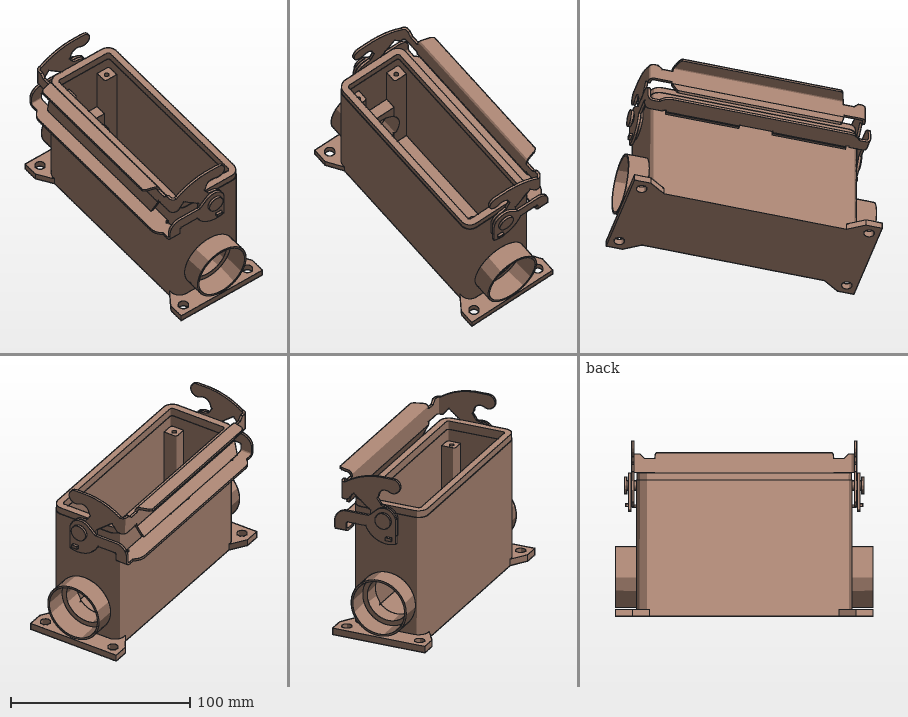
import cadquery as cq
import math


overall_length = 144.0
flange_width = 57.0
flange_height = 4.0

body_length = 120.4
body_width = 44.4
body_height = 80.2
body_corner = 6.0
rim_band = 4.0
rim_inset = 0.3

opening_length = 111.5
opening_width = 35.7
opening_corner = 1.5
lip_depth = 5.2
lip_overhang = 0.1
floor_thickness = 4.0

post_length = 7.2
post_width = 8.0
post_depth = 12.4
post_edge = 1.5
post_hole = 2.6
post_hole_depth = 11.5
post_hole_x = 51.8
post_hole_y = 13.4
end_block_length = 6.6
end_block_top = 40.3

wall_overlap = 1.5

port_z = 22.0
port_outer = 34.1
port_bore = 32.0
port_passage = 26.2
port_bore_depth = 13.0

lug_straight = 9.5
lug_root_x = 53.0
lug_hole = 5.8
lug_hole_x = 66.1
lug_hole_y = 22.5

sheet = 1.5
bend_outer = 2.9
bend_inner = bend_outer - sheet
outer_lever_x = 64.7
inner_lever_x = 63.0
small_round = 0.7

pivot_z = 73.2
pivot_radius = 2.7
pivot_head_radius = 4.8
pivot_head_x = 67.0
pivot_head_thickness = 1.5
eye_radius = 7.0

body_half = body_length / 2
half_length = overall_length / 2
half_root = math.sqrt(0.5)


def box(x0, x1, y0, y1, z0, z1):
    return cq.Workplane("XY").box(x1 - x0, y1 - y0, z1 - z0, centered=False).translate((x0, y0, z0))


def rounded_block(length, width, corner, z0, z1):
    block = cq.Workplane("XY").workplane(offset=z0).rect(length, width).extrude(z1 - z0)
    return block.edges("|Z").fillet(corner)


def rod_x(radius, y, z, x0, x1):
    return cq.Workplane("YZ").workplane(offset=x0).center(y, z).circle(radius).extrude(x1 - x0)


def both_ends(shape):
    return shape.union(shape.mirror("YZ"))


def mirrored_outline(plane, half_points):
    """Closed outline from its +X half, listed from one end to the other."""
    other_half = [(-x, v) for x, v in reversed(half_points)]
    return cq.Workplane(plane).polyline(half_points + other_half).close()


def bent_channel(size, bend_edges, shift):
    """U-shaped sheet along X: a block with rounded edges, hollowed by the same block moved by shift."""
    length, depth, height = size
    outside = cq.Workplane("XY").box(length, depth, height).edges(bend_edges).fillet(bend_outer)
    inside = cq.Workplane("XY").box(length - 2 * sheet, depth, height).edges(bend_edges).fillet(bend_inner)
    return outside.cut(inside.translate(shift))


def make_flange():
    half_width = flange_width / 2
    lug_x = half_length - lug_straight
    half_points = [
        (lug_root_x, -body_width / 2),
        (lug_x, -half_width),
        (half_length, -half_width),
        (half_length, half_width),
        (lug_x, half_width),
        (lug_root_x, body_width / 2),
    ]
    flange = mirrored_outline("XY", half_points).extrude(flange_height)
    holes = [(sx * lug_hole_x, sy * lug_hole_y) for sx in (-1, 1) for sy in (-1, 1)]
    return flange.cut(cq.Workplane("XY").pushPoints(holes).circle(lug_hole / 2).extrude(flange_height))


def make_shell():
    shoulder_z = body_height - rim_band
    shell = rounded_block(body_length, body_width, body_corner, flange_height, shoulder_z)
    shell = shell.union(rounded_block(body_length - 2 * rim_inset, body_width - 2 * rim_inset,
                                      body_corner - rim_inset, shoulder_z, body_height))
    lip_z = body_height - lip_depth
    shell = shell.union(make_flange())
    shell = shell.union(rod_x(port_outer / 2, 0, port_z, -half_length, half_length))
    shell = shell.cut(rounded_block(opening_length, opening_width, opening_corner, lip_z, body_height))
    return shell.cut(rounded_block(opening_length + 2 * lip_overhang, opening_width + 2 * lip_overhang,
                                   opening_corner, floor_thickness, lip_z))


def make_post():
    outer_x = opening_length / 2 + wall_overlap
    outer_y = opening_width / 2 + wall_overlap
    inner_x = opening_length / 2 - post_length
    inner_y = opening_width / 2 - post_width
    top = body_height - post_depth
    post = box(inner_x, outer_x, inner_y, outer_y, floor_thickness, top)
    post = post.edges("|Z and <X and <Y").fillet(post_edge)
    hole = cq.Workplane("XY").workplane(offset=top).center(post_hole_x, post_hole_y)
    return post.cut(hole.circle(post_hole / 2).extrude(-post_hole_depth))


def make_end_block():
    outer_x = opening_length / 2 + wall_overlap
    inner_x = opening_length / 2 - end_block_length
    half_width = opening_width / 2 - post_width
    return box(inner_x, outer_x, -half_width, half_width, floor_thickness, end_block_top)


def make_housing():
    post_pair = make_post().union(make_post().mirror("XZ"))
    housing = make_shell().union(both_ends(post_pair)).union(both_ends(make_end_block()))
    housing = housing.cut(rod_x(port_passage / 2, 0, port_z, -half_length, half_length))
    bore = rod_x(port_bore / 2, 0, port_z, half_length - port_bore_depth, half_length)
    return housing.cut(both_ends(bore))


sill_bottom = 60.9
sill_bend_z = sill_bottom + bend_outer
arm_top = 74.0
arm_bottom = 67.4
arm_back = -23.6
arm_front = -30.7
sill_front = -34.3
sill_sweep = 7.9
sill_shoulder_x = 58.0
sill_notch_half = 9.6
sill_notch_depth = 0.7
relief_x = 53.1
relief_radius = 1.0
lip_end_x = 52.3
lip_height = 2.2
lip_thickness = 1.3
lip_round = 1.2
eye_end = (-4.5, 78.6)
eye_slope_end = (-8.6, 74.9)
arm_start_y = -9.8
lobe_start_y = -11.5
lobe_middle = (-4.8, 60.2)
lobe_end_z = 59.5
stop_x = 66.2
stop_y = 1.3
stop_z = 61.3
stop_width = 3.6
stop_height = 1.7


def lower_side_plate():
    arm_round = arm_back - arm_front
    round_mid = (arm_back - arm_round * half_root, arm_top - arm_round * (1 - half_root))
    return (
        cq.Workplane("YZ").workplane(offset=outer_lever_x - sheet)
        .moveTo(eye_radius, pivot_z)
        .threePointArc((0, pivot_z + eye_radius), eye_end)
        .lineTo(*eye_slope_end)
        .lineTo(arm_start_y, arm_top)
        .lineTo(arm_back, arm_top)
        .threePointArc(round_mid, (arm_front, arm_top - arm_round))
        .lineTo(arm_front, sill_bend_z)
        .lineTo(arm_back, sill_bend_z)
        .lineTo(arm_back, arm_bottom - small_round)
        .radiusArc((arm_back + small_round, arm_bottom), -small_round)
        .lineTo(lobe_start_y, arm_bottom)
        .threePointArc(lobe_middle, (eye_radius, lobe_end_z))
        .close()
        .extrude(sheet)
    )


def make_sill():
    length = 2 * outer_lever_x
    height = 2 * bend_outer
    mid_y = (arm_back + arm_front) / 2
    trough = bent_channel((length, arm_back - arm_front, height), "|Y and <Z", (0, 0, sheet))
    trough = trough.translate((0, mid_y, sill_bottom + height / 2))
    trough = trough.intersect(box(-length, length, arm_front, arm_back, sill_bottom, sill_bend_z))

    drop = arm_front - sill_front
    sweep_run = math.sqrt(sill_sweep ** 2 - (sill_sweep - drop) ** 2)
    sweep_x = sill_shoulder_x - sweep_run
    front = (
        cq.Workplane("XY").workplane(offset=sill_bottom)
        .moveTo(-sill_shoulder_x, arm_front)
        .radiusArc((-sweep_x, sill_front), -sill_sweep)
        .lineTo(sweep_x, sill_front)
        .radiusArc((sill_shoulder_x, arm_front), -sill_sweep)
        .close()
        .extrude(sheet)
    )
    lip_top = sill_bottom + sheet
    lip = box(sill_notch_half, lip_end_x, arm_back, arm_back + lip_thickness, lip_top - lip_height, lip_top)
    lip = lip.edges(">Y and >Z").fillet(lip_round)
    relief = cq.Workplane("XY").workplane(offset=sill_bottom).center(relief_x, arm_back)
    relief = relief.circle(relief_radius).extrude(sheet)
    notch = box(-sill_notch_half, sill_notch_half, arm_back - sill_notch_depth, arm_back,
                sill_bottom, sill_bottom + sheet)
    return trough.union(front).union(both_ends(lip)).cut(both_ends(relief)).cut(notch)


def make_lower_lever():
    stop = box(outer_lever_x - sheet, stop_x, stop_y, stop_y + stop_width, stop_z, stop_z + stop_height)
    return both_ends(lower_side_plate().union(stop)).union(make_sill())


hook_tip_y = 4.5
hook_tip_z = 93.7
hook_radius = 4.3
seat_z = 86.3
band_front = -28.1
band_back = band_front + sheet
band_bottom = 80.4
band_top = 90.7
band_saddle = 88.3
tab_half = 50.0
tab_top = 91.5
tab_tip_y = -36.0
lobe_radius = 11.5
neck_front = -9.2
hook_barb = (-5.3, 84.8)
neck_back = (-2.7, 81.0)
neck_corner_z = 76.5
notch_peak = (-19.7, 85.0)
notch_foot_y = -23.6
back_middle = (-15.4, 95.8)
back_start_y = -4.2
tab_bend_half = 49.0
tab_corner_half = 47.5
tab_corner_y = -34.4
tab_tip_half = 46.2
flap_bend_z = 78.9
flap_inner_bend_z = 78.5
flap_tip_half = 47.7
flap_corner = 1.5
flap_tip_outer = (-31.2, 71.4)
flap_tip_inner = (-30.0, 70.8)
saddle_half = 55.7
saddle_half_top = 58.2


def lobe_z(y):
    return pivot_z - math.sqrt(lobe_radius ** 2 - y ** 2)


def upper_side_plate():
    hook_top = hook_tip_z + hook_radius
    seat_gap = math.hypot(hook_tip_y, hook_tip_z - seat_z)
    seat_radius = seat_gap - hook_radius
    tangent = (hook_tip_y * seat_radius / seat_gap,
               seat_z + (hook_tip_z - seat_z) * seat_radius / seat_gap)
    seat_diagonal = seat_radius * half_root
    eye_diagonal = eye_radius * half_root
    bend_start = band_front + bend_outer
    return (
        cq.Workplane("YZ").workplane(offset=inner_lever_x - sheet)
        .moveTo(hook_tip_y, hook_top)
        .threePointArc((hook_tip_y + hook_radius, hook_tip_z), tangent)
        .threePointArc((-seat_diagonal, seat_z + seat_diagonal), (-seat_radius, seat_z))
        .lineTo(*hook_barb)
        .lineTo(*neck_back)
        .lineTo(0, pivot_z + eye_radius)
        .threePointArc((eye_diagonal, pivot_z + eye_diagonal), (eye_radius, pivot_z))
        .lineTo(eye_radius, lobe_z(eye_radius))
        .threePointArc((0, pivot_z - lobe_radius), (neck_front, lobe_z(neck_front)))
        .lineTo(neck_front, neck_corner_z)
        .lineTo(*notch_peak)
        .lineTo(notch_foot_y, band_bottom)
        .lineTo(bend_start, band_bottom)
        .lineTo(bend_start, band_top)
        .threePointArc(back_middle, (back_start_y, hook_top))
        .close()
        .extrude(sheet)
    )


def make_band():
    depth = 4 * bend_outer
    length = 2 * inner_lever_x
    height = band_top - band_bottom
    strip = bent_channel((length, depth, height), "|Z and <Y", (0, sheet, 0))
    strip = strip.translate((0, band_front + depth / 2, band_bottom + height / 2))
    bend_end = band_front + bend_outer
    strip = strip.intersect(box(-length, length, band_front, bend_end, band_bottom, band_top))
    saddle = mirrored_outline("XZ", [(saddle_half, band_saddle), (saddle_half_top, band_top)])
    return strip.cut(saddle.extrude(flange_width))


def make_top_tab():
    bend_y = band_back - bend_outer
    bend_z = tab_top - bend_outer
    outer_mid = (bend_y + bend_outer * half_root, bend_z + bend_outer * half_root)
    inner_mid = (bend_y + bend_inner * half_root, bend_z + bend_inner * half_root)
    profile = (
        cq.Workplane("YZ").workplane(offset=-tab_half)
        .moveTo(band_back, band_bottom)
        .lineTo(band_back, bend_z)
        .threePointArc(outer_mid, (bend_y, tab_top))
        .lineTo(tab_tip_y, tab_top)
        .lineTo(tab_tip_y, tab_top - sheet)
        .lineTo(bend_y, tab_top - sheet)
        .threePointArc(inner_mid, (band_front, bend_z))
        .lineTo(band_front, band_bottom)
        .close()
        .extrude(2 * tab_half)
    )
    half_points = [
        (tab_half, band_back),
        (tab_bend_half, bend_y),
        (tab_corner_half, tab_corner_y),
        (tab_tip_half, tab_tip_y),
    ]
    outline = mirrored_outline("XY", half_points)
    return profile.intersect(outline.extrude(tab_top))


def make_bottom_flap():
    profile_points = [
        (band_front, band_bottom),
        (band_front, flap_bend_z),
        flap_tip_outer,
        flap_tip_inner,
        (band_back, flap_inner_bend_z),
        (band_back, band_bottom),
    ]
    start_plane = cq.Workplane("YZ").workplane(offset=-tab_half)
    profile = start_plane.polyline(profile_points).close().extrude(2 * tab_half)
    flap_bottom = flap_tip_inner[1]
    half_points = [
        (tab_half, band_bottom),
        (tab_half, flap_bend_z),
        (flap_tip_half, flap_bottom),
    ]
    outline = mirrored_outline("XZ", half_points).extrude(flange_width)
    outline = outline.edges("|Y and <Z").fillet(flap_corner)
    return profile.intersect(outline)


def make_upper_lever():
    lever = both_ends(upper_side_plate()).union(make_band())
    return lever.union(make_top_tab()).union(make_bottom_flap())


def make_pivot():
    pin = rod_x(pivot_radius, 0, pivot_z, body_half - wall_overlap, pivot_head_x)
    head = rod_x(pivot_head_radius, 0, pivot_z, pivot_head_x - pivot_head_thickness, pivot_head_x)
    return pin.union(head)


result = make_housing().union(make_lower_lever()).union(make_upper_lever()).union(both_ends(make_pivot()))